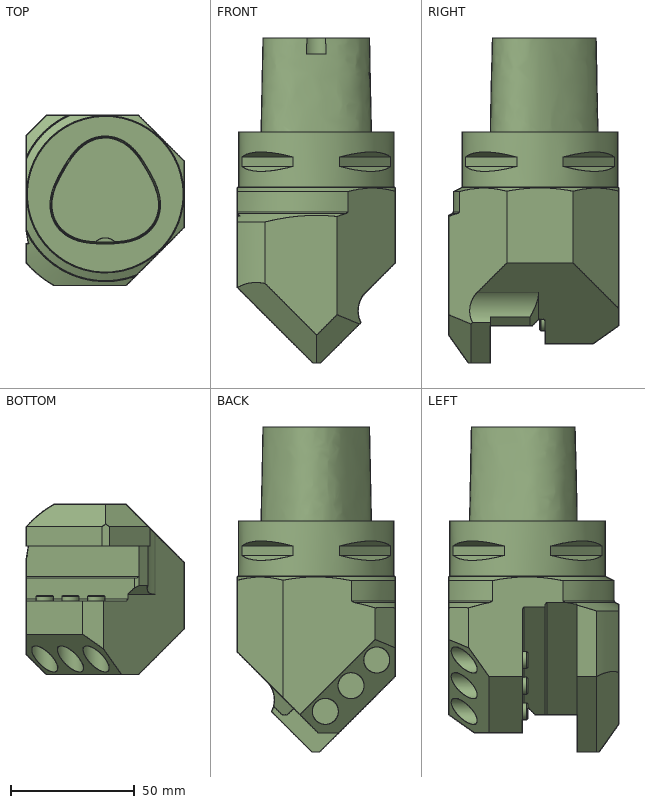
import cadquery as cq
import math

ROOT2 = math.sqrt(2)

SHANK_HEIGHT = 38.0
TIP_Z = SHANK_HEIGHT - 131.6
REAR_BOTTOM_Z = -85.8

LOBE_RADIUS_BASE = 21.8
LOBE_RADIUS_TOP = 21.0
LOBE_HEIGHT = 1.7
LOBE_POINTS = 36
KEYWAY_DIAMETER = 10.5
KEYWAY_CENTER_Y = -22.9
KEYWAY_DEPTH = 6.6

FLANGE_RADIUS = 63.0 / 2
FLANGE_BOTTOM_Z = -22.2
LIP_RADIUS = 31.8
LIP_Z = -22.6
GROOVE_FLOOR_DISTANCE = 27.9
GROOVE_FLOOR_WIDTH = 3.7
GROOVE_CENTER_Z = -12.1
GROOVE_WALL_ANGLE = 30

SIDE = 32.0
FRONT_Y = SIDE - 69.0
HEAD_RADIUS = 42.4
REAR_LEFT_CHAMFER = 8.2
RIGHT_DIAGONAL = 45.4
NECK_RADIUS = 35.0
NECK_TOP_Z = -24.2
NECK_BOTTOM_Z = -32.4
CONE_TOP_RADIUS = 35.4
CONE_TOP_Z = -33.0
CONE_BOTTOM_Z = -36.5

LEFT_FACE = 67.1
RIGHT_FACE_BLADE = 67.4
RIGHT_FACE_WEB = 65.3
RIGHT_FACE_REAR = 60.1
BLADE_CHAMFER = 9.1
REAR_CHAMFER = 16.3

SLOT_REAR_Y = 2.1
SLOT_STEP_Y = -7.1
BLADE_INNER_Y = -20.0
SLOT_FLOOR_REAR = 47.2
SLOT_FLOOR_FRONT = 45.9
WEB_BEVEL_START_Y = -0.5
WEB_BEVEL_END_Y = -4.1
WEB_BOTTOM_Z = -78.5
SLOT_CORNER_CHAMFER = 0.7

RELIEF_RADIUS = 10.5
RELIEF_LEFT_X = 17.0

SCREW_PITCH_Z = 10.4
MIDDLE_SCREW_Z = -66.7
SCREW_LINE_SUM = -80.8
SCREW_HOLE_DIAMETER = 10.5
SCREW_HOLE_BOTTOM_Y = 10.5
PIN_DIAMETER = 7.0
PIN_LENGTH = 2.2
PIN_CHAMFER = 0.5

OVERSIZE = 263.2


def lobed_wire(mean_radius, z):
    points = []
    for i in range(LOBE_POINTS):
        angle = 2 * math.pi * i / LOBE_POINTS
        radius = mean_radius - LOBE_HEIGHT * math.sin(3 * angle)
        points.append(cq.Vector(radius * math.cos(angle), radius * math.sin(angle), z))
    return cq.Wire.assembleEdges([cq.Edge.makeSpline(points, periodic=True)])


def make_shank():
    base = lobed_wire(LOBE_RADIUS_BASE, 0)
    top = lobed_wire(LOBE_RADIUS_TOP, SHANK_HEIGHT)
    shank = cq.Workplane(cq.Solid.makeLoft([base, top]))
    keyway = (
        cq.Workplane(origin=(0, KEYWAY_CENTER_Y, SHANK_HEIGHT - KEYWAY_DEPTH))
        .circle(KEYWAY_DIAMETER / 2)
        .extrude(KEYWAY_DEPTH)
    )
    return shank.cut(keyway)


def make_groove_cutter():
    """Trapezoidal groove across the +X side of the flange."""
    depth = FLANGE_RADIUS - GROOVE_FLOOR_DISTANCE
    half_floor = GROOVE_FLOOR_WIDTH / 2
    half_mouth = half_floor + depth * math.tan(math.radians(GROOVE_WALL_ANGLE))
    return (
        cq.Workplane("XZ")
        .polyline([
            (GROOVE_FLOOR_DISTANCE, GROOVE_CENTER_Z - half_floor),
            (FLANGE_RADIUS, GROOVE_CENTER_Z - half_mouth),
            (FLANGE_RADIUS, GROOVE_CENTER_Z + half_mouth),
            (GROOVE_FLOOR_DISTANCE, GROOVE_CENTER_Z + half_floor),
        ])
        .close()
        .extrude(FLANGE_RADIUS, both=True)
    )


def make_flange():
    flange = cq.Workplane().circle(FLANGE_RADIUS).extrude(FLANGE_BOTTOM_Z)
    for angle in (45, 135, 225, 315):
        flange = flange.cut(make_groove_cutter().rotate((0, 0, 0), (0, 0, 1), angle))
    return flange


def make_head_blank():
    """Plan outline trimmed by the turned neck and its conical shoulder."""
    arc_left_y = -math.sqrt(HEAD_RADIUS**2 - SIDE**2)
    arc_front_x = -math.sqrt(HEAD_RADIUS**2 - FRONT_Y**2)
    arc_middle = cq.Vector(-SIDE + arc_front_x, arc_left_y + FRONT_Y).normalized() * HEAD_RADIUS
    outline = (
        cq.Workplane(origin=(0, 0, TIP_Z))
        .moveTo(-SIDE, arc_left_y)
        .threePointArc((arc_middle.x, arc_middle.y), (arc_front_x, FRONT_Y))
        .lineTo(RIGHT_DIAGONAL + FRONT_Y, FRONT_Y)
        .lineTo(SIDE, SIDE - RIGHT_DIAGONAL)
        .lineTo(SIDE, RIGHT_DIAGONAL - SIDE)
        .lineTo(RIGHT_DIAGONAL - SIDE, SIDE)
        .lineTo(REAR_LEFT_CHAMFER - SIDE, SIDE)
        .lineTo(-SIDE, SIDE - REAR_LEFT_CHAMFER)
        .close()
        .extrude(FLANGE_BOTTOM_Z - TIP_Z)
    )
    turned = (
        cq.Workplane("XZ")
        .polyline([
            (0, FLANGE_BOTTOM_Z),
            (FLANGE_RADIUS, FLANGE_BOTTOM_Z),
            (LIP_RADIUS, LIP_Z),
            (NECK_RADIUS, NECK_TOP_Z),
            (NECK_RADIUS, NECK_BOTTOM_Z),
            (CONE_TOP_RADIUS, CONE_TOP_Z),
            (HEAD_RADIUS, CONE_BOTTOM_Z),
            (HEAD_RADIUS, TIP_Z),
            (0, TIP_Z),
        ])
        .close()
        .revolve(360, (0, 0), (0, 1))
    )
    return outline.intersect(turned)


def sloped_prism(points, run_z):
    """Extrude (y, distance) points along the 45 degree direction (1, 0, run_z)."""
    plane = cq.Plane(origin=(0, 0, 0), xDir=(0, 1, 0), normal=(1, 0, run_z))
    local = [(y, -distance) for y, distance in points]
    return cq.Workplane(plane).polyline(local).close().extrude(OVERSIZE, both=True)


def make_left_envelope():
    """Lower left faces: blade, stepped slot floor, rear block and edge chamfers."""
    return sloped_prism([
        (FRONT_Y, -OVERSIZE),
        (FRONT_Y, LEFT_FACE - BLADE_CHAMFER),
        (FRONT_Y + BLADE_CHAMFER, LEFT_FACE),
        (BLADE_INNER_Y, LEFT_FACE),
        (BLADE_INNER_Y, SLOT_FLOOR_FRONT),
        (SLOT_STEP_Y - SLOT_CORNER_CHAMFER, SLOT_FLOOR_FRONT),
        (SLOT_STEP_Y, SLOT_FLOOR_FRONT + SLOT_CORNER_CHAMFER),
        (SLOT_STEP_Y, SLOT_FLOOR_REAR),
        (SLOT_REAR_Y - SLOT_CORNER_CHAMFER, SLOT_FLOOR_REAR),
        (SLOT_REAR_Y, SLOT_FLOOR_REAR + SLOT_CORNER_CHAMFER),
        (SLOT_REAR_Y, LEFT_FACE),
        (SIDE - REAR_CHAMFER, LEFT_FACE),
        (SIDE, LEFT_FACE - REAR_CHAMFER),
        (SIDE, -OVERSIZE),
    ], -1)


def make_right_envelope():
    """Lower right faces: blade, web with its bevel, and rear block."""
    return sloped_prism([
        (FRONT_Y, -OVERSIZE),
        (FRONT_Y, RIGHT_FACE_BLADE - BLADE_CHAMFER),
        (FRONT_Y + BLADE_CHAMFER, RIGHT_FACE_BLADE),
        (BLADE_INNER_Y, RIGHT_FACE_BLADE),
        (BLADE_INNER_Y, RIGHT_FACE_WEB),
        (WEB_BEVEL_END_Y, RIGHT_FACE_WEB),
        (WEB_BEVEL_START_Y, RIGHT_FACE_REAR),
        (SIDE, RIGHT_FACE_REAR),
        (SIDE, -OVERSIZE),
    ], 1)


def make_relief_cutter():
    """45 degree undercut running tangent into a round relief behind the tip."""
    line_offset = RIGHT_FACE_REAR * ROOT2
    center_x = RELIEF_LEFT_X + RELIEF_RADIUS
    center_z = center_x - line_offset - RELIEF_RADIUS * ROOT2
    tangent = RELIEF_RADIUS / ROOT2
    right_x = 2 * SIDE
    return (
        cq.Workplane("XZ")
        .moveTo(right_x, right_x - line_offset)
        .lineTo(center_x - tangent, center_z + tangent)
        .threePointArc((RELIEF_LEFT_X, center_z), (center_x, center_z - RELIEF_RADIUS))
        .lineTo(right_x, center_z - RELIEF_RADIUS)
        .close()
        .extrude(OVERSIZE, both=True)
    )


def make_block_below(top_z, front_y, rear_y):
    return (
        cq.Workplane(origin=(0, (front_y + rear_y) / 2, top_z))
        .rect(OVERSIZE, rear_y - front_y)
        .extrude(-OVERSIZE)
    )


def make_head():
    head = make_head_blank().intersect(make_left_envelope()).intersect(make_right_envelope())
    head = head.cut(make_relief_cutter())
    head = head.cut(make_block_below(REAR_BOTTOM_Z, BLADE_INNER_Y, SIDE))
    return head.cut(make_block_below(WEB_BOTTOM_Z, BLADE_INNER_Y, SLOT_REAR_Y))


def add_clamp_screws(body):
    for step in (-1, 0, 1):
        z = MIDDLE_SCREW_Z + step * SCREW_PITCH_Z
        x = SCREW_LINE_SUM - z
        hole = (
            cq.Workplane("XZ", origin=(x, SIDE, z))
            .circle(SCREW_HOLE_DIAMETER / 2)
            .extrude(SIDE - SCREW_HOLE_BOTTOM_Y)
        )
        pin = (
            cq.Workplane("XZ", origin=(x, SLOT_REAR_Y, z))
            .circle(PIN_DIAMETER / 2)
            .extrude(PIN_LENGTH)
            .faces("<Y")
            .chamfer(PIN_CHAMFER)
        )
        body = body.cut(hole).union(pin)
    return body


result = add_clamp_screws(make_shank().union(make_flange()).union(make_head()))